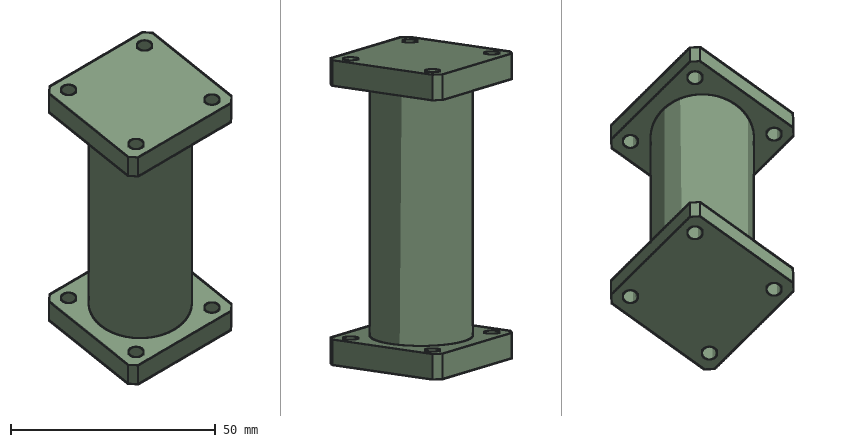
import cadquery as cq

total_length = 76.2
flange_side = 33.3
flange_thickness = 6.4
corner_chamfer = 1.75

body_diameter = 25.3
body_length = total_length - 2 * flange_thickness

hole_diameter = 3.7
hole_spacing_x = 25.4
hole_spacing_y = 24.4


def make_flange(bottom_z):
    """Square plate with chamfered corners and four through holes."""
    plate = (
        cq.Workplane("XY")
        .workplane(offset=bottom_z)
        .rect(flange_side, flange_side)
        .extrude(flange_thickness)
        .edges("|Z")
        .chamfer(corner_chamfer)
    )
    return (
        plate.faces(">Z")
        .workplane()
        .rect(hole_spacing_x, hole_spacing_y, forConstruction=True)
        .vertices()
        .hole(hole_diameter)
    )


def make_body():
    """Solid cylinder joining the two flanges."""
    return (
        cq.Workplane("XY")
        .workplane(offset=-body_length / 2)
        .circle(body_diameter / 2)
        .extrude(body_length)
    )


lower_flange = make_flange(-total_length / 2)
upper_flange = make_flange(body_length / 2)
result = make_body().union(lower_flange).union(upper_flange)